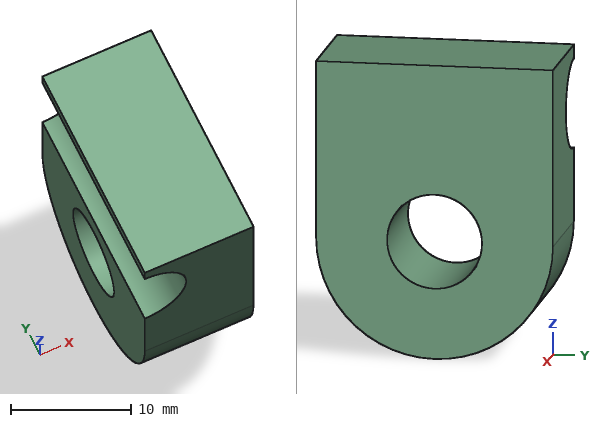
import cadquery as cq

thickness = 10.0
width = 20.0
height = 25.0
hole_diameter = 8.0
groove_radius = 3.8
groove_depth_from_top = 5.0

end_radius = width / 2
top_z = height - end_radius
groove_z = top_z - groove_depth_from_top


def make_body():
    """Plate with a square top and a full-round lower end."""
    return (
        cq.Workplane("YZ")
        .moveTo(-end_radius, 0)
        .threePointArc((0, -end_radius), (end_radius, 0))
        .lineTo(end_radius, top_z)
        .lineTo(-end_radius, top_z)
        .close()
        .extrude(thickness)
    )


def make_hole():
    """Through hole concentric with the rounded end."""
    return cq.Workplane("YZ").circle(hole_diameter / 2).extrude(thickness)


def make_groove():
    """Cylinder along Y, centred on the -X face, that leaves a half-round groove."""
    return (
        cq.Workplane("XZ")
        .center(0, groove_z)
        .circle(groove_radius)
        .extrude(width / 2, both=True)
    )


result = make_body().cut(make_hole()).cut(make_groove())